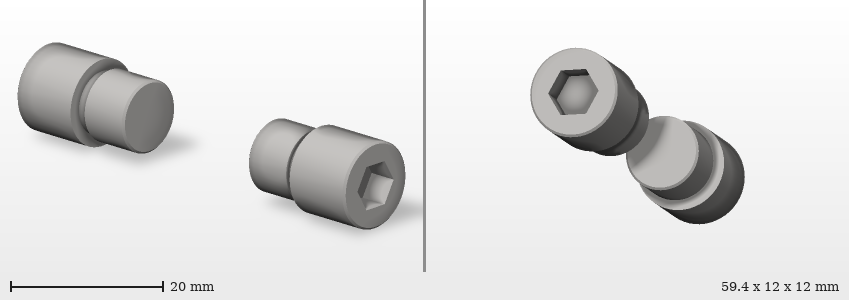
import cadquery as cq
import math

total_length = 59.4

head_length = 9.85
groove_length = 1.6
shank_length = 7.0

head_diameter = 12.0
groove_diameter = 8.8
shank_diameter = 10.0

chamfer = 0.3
socket_across_flats = 6.0
socket_depth = 4.0


def turned_body():
    """Head, undercut groove and shank turned about X, head face at X = 0."""
    head_radius = head_diameter / 2
    groove_radius = groove_diameter / 2
    shank_radius = shank_diameter / 2
    groove_end = head_length + groove_length
    tip = groove_end + shank_length
    profile = [
        (0, 0),
        (0, head_radius - chamfer),
        (chamfer, head_radius),
        (head_length, head_radius),
        (head_length, groove_radius),
        (groove_end, groove_radius),
        (groove_end, shank_radius),
        (tip - chamfer, shank_radius),
        (tip, shank_radius - chamfer),
        (tip, 0),
    ]
    return cq.Workplane("XY").polyline(profile).close().revolve(360, (0, 0, 0), (1, 0, 0))


def hex_socket():
    """Hexagonal socket cutter with two corners on the Y axis."""
    across_corners = socket_across_flats / math.cos(math.pi / 6)
    return cq.Workplane("YZ").polygon(6, across_corners).extrude(socket_depth)


def make_screw():
    """One screw with its head face at X = 0 and its tip toward +X."""
    return turned_body().cut(hex_socket())


screws = []
for head_x, turn in [(0, 0), (total_length, 180)]:
    screw = make_screw().rotate((0, 0, 0), (0, 0, 1), turn).translate((head_x, 0, 0))
    screws.append(screw.val())

result = cq.Compound.makeCompound(screws)